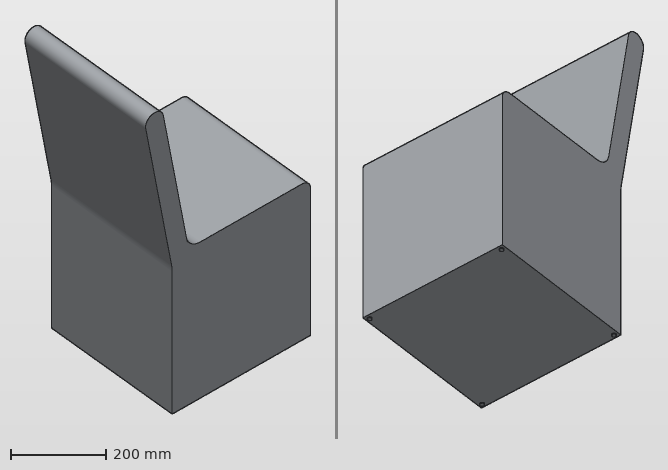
import cadquery as cq
import math

width = 380.0
depth = 465.0
height = 851.0

block_depth = 390.0
foot_height = 2.5
seat_height = 428.0
seat_edge_radius = 25.0
seat_back_radius = 40.0

back_thickness = 50.0
lean = math.radians(10)

foot_diameter = 10.0
foot_inset = 10.0

front_y = depth / 2
rear_y = front_y - block_depth
top_radius = back_thickness / 2
rear_bend_radius = seat_back_radius + back_thickness
top_center_y = -depth / 2 + top_radius
top_center_z = height - top_radius


def back_point(offset, along=0):
    """Point offset from the backrest mid-plane (+ is toward the seat), at a distance along its slope."""
    y = top_center_y + offset * math.cos(lean) - along * math.sin(lean)
    z = top_center_z + offset * math.sin(lean) + along * math.cos(lean)
    return (y, z)


def back_z(y, offset):
    """Height at which a backrest face reaches the given Y."""
    face_y, face_z = back_point(offset)
    return face_z - (y - face_y) / math.tan(lean)


def make_body():
    seat_face_y, seat_face_z = back_point(top_radius)
    crease_y = seat_face_y + (seat_face_z - seat_height) * math.tan(lean)
    rear_bend_z = back_z(rear_y, -top_radius)
    body = (
        cq.Workplane("YZ")
        .moveTo(rear_y, foot_height)
        .lineTo(front_y, foot_height)
        .lineTo(front_y, seat_height)
        .lineTo(crease_y, seat_height)
        .lineTo(seat_face_y, seat_face_z)
        .threePointArc(back_point(0, top_radius), back_point(-top_radius))
        .lineTo(rear_y, rear_bend_z)
        .close()
        .extrude(width / 2, both=True)
    )
    seat_edge = cq.selectors.NearestToPointSelector((0, front_y, seat_height))
    seat_crease = cq.selectors.NearestToPointSelector((0, crease_y, seat_height))
    rear_bend = cq.selectors.NearestToPointSelector((0, rear_y, rear_bend_z))
    body = body.edges(seat_edge).fillet(seat_edge_radius)
    body = body.edges(seat_crease).fillet(seat_back_radius)
    return body.edges(rear_bend).fillet(rear_bend_radius)


def make_feet():
    return (
        cq.Workplane("XY")
        .center(0, (front_y + rear_y) / 2)
        .rect(width - 2 * foot_inset, block_depth - 2 * foot_inset, forConstruction=True)
        .vertices()
        .circle(foot_diameter / 2)
        .extrude(foot_height)
    )


result = make_body().union(make_feet())